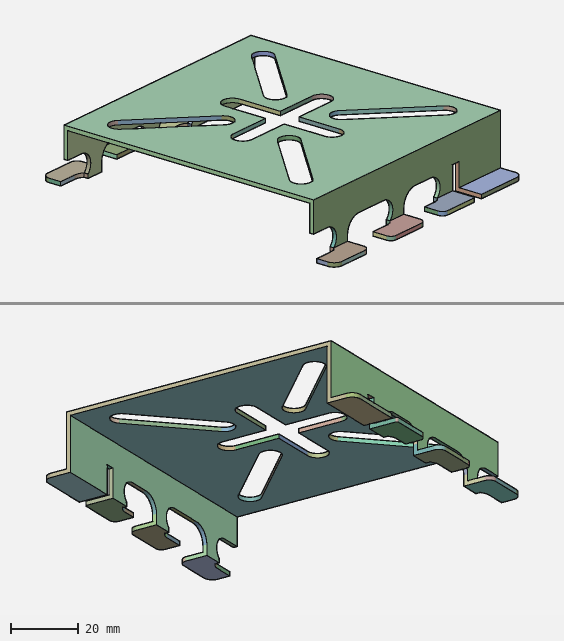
import cadquery as cq
import math

total_width = 112.0
total_depth = 90.0
total_height = 20.0
sheet = 1.5
wall_span = 95.0

half_depth = total_depth / 2
wall_outer_x = wall_span / 2
wall_inner_x = wall_outer_x - sheet
flange_tip_x = total_width / 2

slit_back_y = 25.1
slit_front_y = 22.1
slit_top_z = 9.9

opening_top_z = 9.0
nose_radius = 4.4
shoulder_radius = 5.5
nose_back_ys = (15.9, -6.8, -33.9)

tabs = (
    (half_depth, slit_back_y, 3.0, None),
    (slit_front_y, 6.8, 0.7, 2.0),
    (-1.5, -18.0, 2.5, 2.0),
    (-28.6, -half_depth, 2.5, 3.0),
)

slot_width = 7.0
cross_length = 45.0
diagonal_inner = 12.5
diagonal_outer = 34.6

nose_center_z = opening_top_z - nose_radius
nose_rise = nose_center_z - sheet
nose_half_chord = math.sqrt(nose_radius**2 - nose_rise**2)
flange_cut_depth = nose_radius - nose_rise


def box(x_range, y_range, z_range):
    """Axis-aligned block between three pairs of limits."""
    size = [high - low for low, high in (x_range, y_range, z_range)]
    corner = (x_range[0], y_range[0], z_range[0])
    return cq.Workplane("XY").box(*size, centered=False).translate(corner)


def bent_sheet():
    """Hat-section sheet: deck, two walls and two outward flanges."""
    half = [
        (0, total_height),
        (wall_outer_x, total_height),
        (wall_outer_x, sheet),
        (flange_tip_x, sheet),
        (flange_tip_x, 0),
        (wall_inner_x, 0),
        (wall_inner_x, total_height - sheet),
        (0, total_height - sheet),
    ]
    right = cq.Workplane("XZ").polyline(half).close().extrude(half_depth, both=True)
    return right.union(right.mirror("YZ"))


def deck_slot(length, angle, center=(0, 0)):
    return (
        cq.Workplane("XY", origin=(0, 0, total_height - sheet))
        .center(*center)
        .slot2D(length, slot_width, angle)
        .extrude(sheet)
    )


def deck_slots():
    """Central cross and four slots along the diagonals."""
    slots = deck_slot(cross_length, 0).union(deck_slot(cross_length, 90))
    middle = (diagonal_inner + diagonal_outer) / 2
    length = (diagonal_outer - diagonal_inner) * math.sqrt(2) + slot_width
    for x_sign in (1, -1):
        for y_sign in (1, -1):
            center = (x_sign * middle, y_sign * middle)
            slots = slots.union(deck_slot(length, x_sign * y_sign * 45, center))
    return slots


def slit():
    return box(
        (wall_inner_x, flange_tip_x),
        (slit_front_y, slit_back_y),
        (0, slit_top_z),
    )


def wall_opening(nose_back_y, front_y, has_shoulder):
    """Opening through the wall, from the round nose forward to front_y."""
    nose_center_y = nose_back_y - nose_radius
    nose_foot_y = nose_center_y + nose_half_chord
    profile = (
        cq.Workplane("YZ", origin=(wall_inner_x, 0, 0))
        .moveTo(nose_foot_y, 0)
        .lineTo(nose_foot_y, sheet)
        .threePointArc((nose_back_y, nose_center_z), (nose_center_y, opening_top_z))
    )
    if has_shoulder:
        shoulder_start_y = front_y + shoulder_radius
        shoulder_end_z = opening_top_z - shoulder_radius
        profile = profile.lineTo(shoulder_start_y, opening_top_z).radiusArc(
            (front_y, shoulder_end_z), -shoulder_radius
        )
    else:
        profile = profile.lineTo(front_y, opening_top_z)
    return profile.lineTo(front_y, 0).close().extrude(sheet)


def flange_undercut(nose_back_y, tab_front_y):
    """Strip that frees the front of a tab from the wall."""
    nose_center_y = nose_back_y - nose_radius
    cut_x = wall_outer_x + flange_cut_depth
    return (
        cq.Workplane("XY")
        .moveTo(wall_outer_x, nose_center_y + nose_half_chord)
        .radiusArc((cut_x, nose_center_y), nose_radius)
        .lineTo(cut_x, tab_front_y)
        .lineTo(wall_outer_x, tab_front_y)
        .close()
        .extrude(sheet)
    )


def hook_cuts():
    """Slit, wall openings and flange cuts that shape the tabs of one wall."""
    cuts = slit()
    for index, nose_back_y in enumerate(nose_back_ys):
        tab_front_y = tabs[index + 1][1]
        cuts = cuts.union(flange_undercut(nose_back_y, tab_front_y))
        is_last = index == len(nose_back_ys) - 1
        if is_last:
            opening_front_y = -half_depth
        else:
            opening_front_y = tabs[index + 2][0]
            gap = box(
                (wall_outer_x, flange_tip_x),
                (opening_front_y, tab_front_y),
                (0, sheet),
            )
            cuts = cuts.union(gap)
        cuts = cuts.union(wall_opening(nose_back_y, opening_front_y, not is_last))
    return cuts


def round_tab_corner(body, x_side, corner_y, radius):
    """Round the vertical edge at one outer corner of a tab."""
    corner = cq.selectors.NearestToPointSelector((x_side * flange_tip_x, corner_y, sheet / 2))
    return body.edges("|Z").edges(corner).fillet(radius)


def round_tabs(body):
    for back_y, front_y, back_radius, front_radius in tabs:
        for corner_y, radius in ((back_y, back_radius), (front_y, front_radius)):
            if radius is None:
                continue
            for x_side in (1, -1):
                body = round_tab_corner(body, x_side, corner_y, radius)
    return body


right_cuts = hook_cuts()
bracket = bent_sheet().cut(deck_slots())
bracket = bracket.cut(right_cuts).cut(right_cuts.mirror("YZ"))
result = round_tabs(bracket)